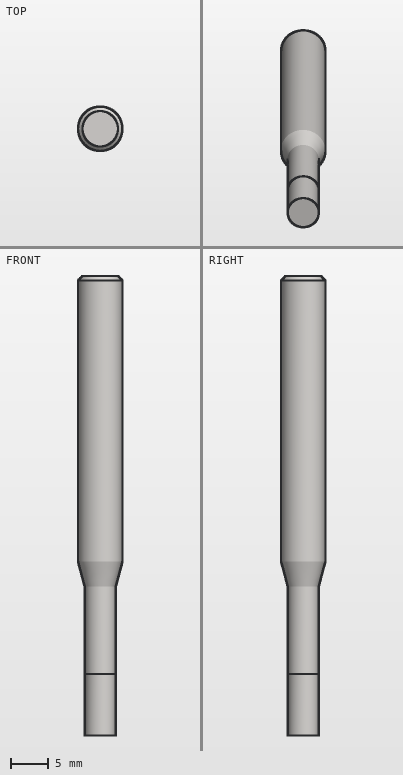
import cadquery as cq

total_length = 62.0
shank_diameter = 6.0
neck_diameter = 4.2

cutter_length = 8.3
neck_length = 11.8
taper_length = 3.35
shank_chamfer = 0.6

cutter_top = cutter_length
neck_top = cutter_top + neck_length
taper_top = neck_top + taper_length

shank_radius = shank_diameter / 2
neck_radius = neck_diameter / 2


def make_cutter():
    """Plain cylindrical cutting end, butted against the neck."""
    return cq.Workplane("XY").circle(neck_radius).extrude(cutter_length)


def make_shank():
    """Neck, conical transition and chamfered shank turned as one piece."""
    profile = [
        (0, cutter_top),
        (neck_radius, cutter_top),
        (neck_radius, neck_top),
        (shank_radius, taper_top),
        (shank_radius, total_length - shank_chamfer),
        (shank_radius - shank_chamfer, total_length),
        (0, total_length),
    ]
    return cq.Workplane("XZ").polyline(profile).close().revolve(360, (0, 0), (0, 1))


cutter = make_cutter()
shank = make_shank()

result = cq.Compound.makeCompound([cutter.val(), shank.val()])